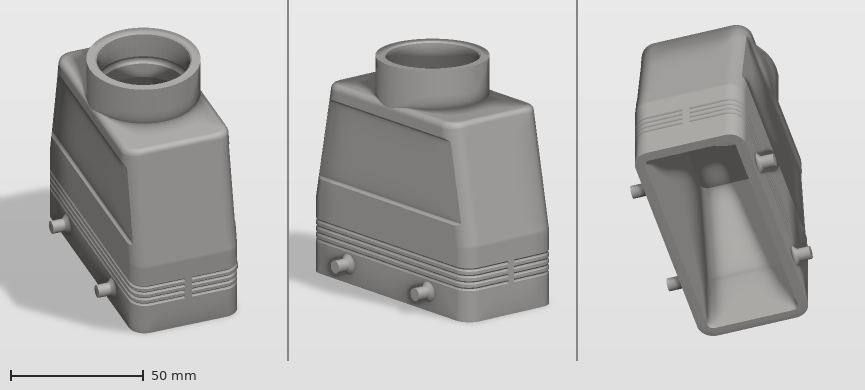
import cadquery as cq
import math

length = 93.5
width = 43.2
hood_height = 75.8
taper_start = 29.45
top_length = 74.8
corner_radius = 6.3
top_edge_radius = 2.3
taper_bend_radius = 4.7
wall = 3.8

total_height = 91.0
collar_radius = 21.5
bore_radius = 17.7
bore_chamfer = 0.6
relief_top = 80.7
neck_top = 78.0
neck_radius = 16.6

recess_depth = 1.0
recess_bottom = 37.0
recess_top = 69.75

groove_count = 4
groove_pitch = 2.5
groove_depth = 0.7
groove_height = 2 * groove_depth
first_groove_bottom = 12.25
groove_gap = 2.8
groove_flank_angle = 45

pin_diameter = 5.0
pin_spacing = 47.4
pin_height = 7.6
pin_span = 56.0
pin_foot = 1.5

clearance = 0.9

roof_underside = hood_height - wall
half_width = width / 2
taper_slope = (length - top_length) / 2 / (hood_height - taper_start)
taper_angle = math.atan(taper_slope)
pin_radius = pin_diameter / 2
relief_radius = bore_radius + bore_chamfer


def tapered_block(inset):
    """Skirt and tapered upper part, moved inwards by inset on all faces but the bottom."""
    half_bottom = length / 2 - inset
    bend_z = taper_start - inset * math.tan(taper_angle / 2)
    top_z = hood_height - inset
    half_top = half_bottom - (top_z - bend_z) * taper_slope
    depth = width - 2 * inset
    return (
        cq.Workplane("XZ")
        .moveTo(-half_bottom, 0)
        .lineTo(half_bottom, 0)
        .lineTo(half_bottom, bend_z)
        .lineTo(half_top, top_z)
        .lineTo(-half_top, top_z)
        .lineTo(-half_bottom, bend_z)
        .close()
        .extrude(depth / 2, both=True)
    )


def round_corners(block, radius):
    """Round the upright edges of a block, along both the skirt and the taper."""
    return block.faces("<Y or >Y").edges("not(#Z)").fillet(radius)


def make_hood():
    hood = tapered_block(0)
    bend_box = cq.selectors.BoxSelector(
        (-length, -width, taper_start - clearance), (length, width, taper_start + clearance)
    )
    hood = hood.edges("|Y").edges(bend_box).fillet(taper_bend_radius)
    hood = round_corners(hood, corner_radius)
    return hood.faces(">Z").edges().fillet(top_edge_radius)


def make_cavity():
    return round_corners(tapered_block(wall), corner_radius - wall)


def make_recess():
    """Trapezoidal channel along X in the -Y side."""
    floor_y = recess_depth - half_width
    return (
        cq.Workplane("YZ")
        .moveTo(-half_width, recess_bottom)
        .lineTo(floor_y, recess_bottom + recess_depth)
        .lineTo(floor_y, recess_top - recess_depth)
        .lineTo(-half_width, recess_top)
        .close()
        .extrude(length / 2, both=True)
    )


def make_groove():
    """V-groove around the skirt, with its middle plane at Z = 0."""
    half_height = groove_height / 2
    slab = cq.Workplane("XY").box(length + clearance, width + clearance, groove_height)
    upper = (
        cq.Workplane("XY", origin=(0, 0, half_height))
        .sketch()
        .rect(length, width)
        .vertices()
        .fillet(corner_radius)
        .finalize()
        .extrude(-half_height, taper=groove_flank_angle)
    )
    lower = upper.mirror("XY")
    end_gap = cq.Workplane("XY").box(length + clearance, groove_gap, groove_height)
    return slab.cut(upper).cut(lower).cut(end_gap)


def make_pin():
    """Pin with a conical foot on the -Y side, pointing along -Y from X = 0, Z = 0."""
    foot_radius = pin_radius + pin_foot
    wall_middle = half_width - wall / 2
    return (
        cq.Workplane("XY")
        .moveTo(0, -wall_middle)
        .lineTo(foot_radius, -wall_middle)
        .lineTo(foot_radius, -half_width)
        .lineTo(pin_radius, -half_width - pin_foot)
        .lineTo(pin_radius, -pin_span / 2)
        .lineTo(0, -pin_span / 2)
        .close()
        .revolve(360, (0, 0, 0), (0, 1, 0))
    )


def make_bore():
    """Chamfered bore with a rounded relief at its foot, then a neck that opens into the cavity."""
    ledge_round = relief_radius - neck_radius
    round_center_z = neck_top + ledge_round
    round_offset = ledge_round * math.sqrt(0.5)
    round_middle = (neck_radius + round_offset, round_center_z - round_offset)
    return (
        cq.Workplane("XZ")
        .moveTo(0, roof_underside - wall)
        .lineTo(neck_radius, roof_underside - wall)
        .lineTo(neck_radius, neck_top)
        .threePointArc(round_middle, (relief_radius, round_center_z))
        .lineTo(bore_radius, relief_top)
        .lineTo(bore_radius, total_height - bore_chamfer)
        .lineTo(bore_radius + bore_chamfer, total_height)
        .lineTo(0, total_height)
        .close()
        .revolve(360, (0, 0, 0), (0, 1, 0))
    )


hood = make_hood()

recess = make_recess()
hood = hood.cut(recess).cut(recess.mirror("XZ"))

groove = make_groove()
for index in range(groove_count):
    middle = first_groove_bottom + groove_height / 2 + index * groove_pitch
    hood = hood.cut(groove.translate((0, 0, middle)))

collar = (
    cq.Workplane("XY")
    .workplane(offset=roof_underside)
    .circle(collar_radius)
    .extrude(total_height - roof_underside)
)
hood = hood.union(collar)

pin = make_pin()
for x in (-pin_spacing / 2, pin_spacing / 2):
    placed_pin = pin.translate((x, 0, pin_height))
    hood = hood.union(placed_pin).union(placed_pin.mirror("XZ"))

result = hood.cut(make_cavity()).cut(make_bore())